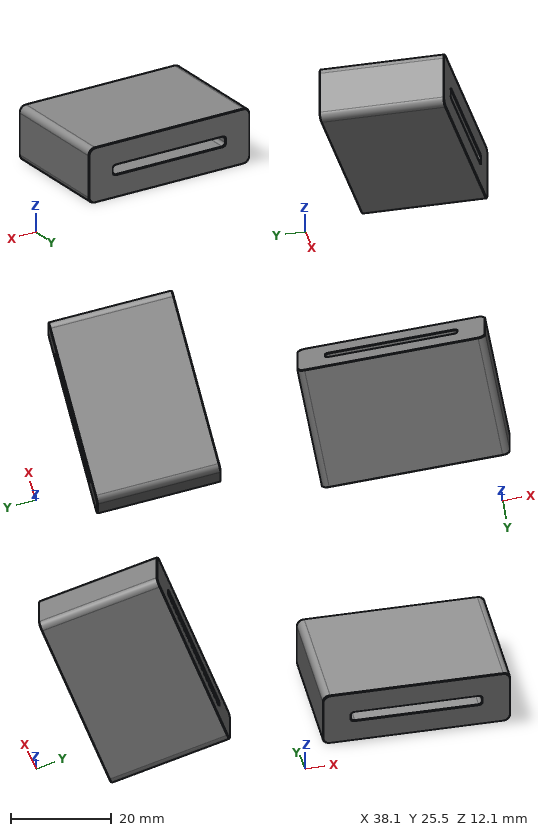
import cadquery as cq

width = 38.1
depth = 25.5
height = 12.05
corner_radius = 1.5
end_chamfer = 0.2

slot_width = 26.5
slot_height = 2.02
slot_corner_radius = 0.7
slot_chamfer = 0.2


def rounded_bar(bar_width, bar_height, radius):
    """Bar along Y, centred on the origin, with its long edges rounded."""
    return cq.Workplane("XY").box(bar_width, depth, bar_height).edges("|Y").fillet(radius)


block = rounded_bar(width, height, corner_radius).faces("<Y or >Y").chamfer(end_chamfer)
slot = rounded_bar(slot_width, slot_height, slot_corner_radius)
body = block.cut(slot)

slot_mouths = body.faces("<Y or >Y").edges(
    cq.selectors.BoxSelector(
        (-slot_width / 2 - slot_chamfer, -depth, -slot_height),
        (slot_width / 2 + slot_chamfer, depth, slot_height),
    )
)
result = slot_mouths.chamfer(slot_chamfer)